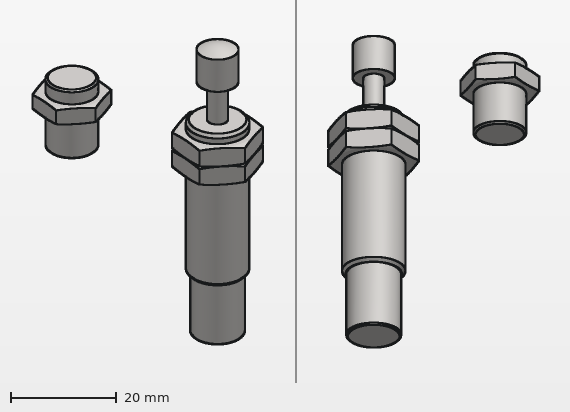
import cadquery as cq
import math

total_length = 62.3

housing_diameter = 12.0
housing_top_diameter = 10.9
housing_top_chamfer_height = 0.75
foot_diameter = 10.4
foot_chamfer = 0.3
shoulder_height = 13.1
shoulder_chamfer_height = 0.7
shoulder_chamfer_diameter = 10.65
housing_height = 46.1

rod_diameter = 4.0
cap_diameter = 8.0
cap_height = 8.0
dome_height = 1.0

lock_nut_count = 2
lock_nut_width = 15.0
lock_nut_thickness = 4.0
lock_nut_setback = 2.0
lock_nut_face_diameter = 14.8
lock_nut_corner_drop = 0.3

stud_distance = 29.95
stud_base_height = 33.5
stud_height = 14.95
stud_diameter = 10.0
stud_end_diameter = 9.15
stud_chamfer_height = 0.4
stud_nut_width = 13.0
stud_nut_thickness = 3.5
stud_nut_setback = 3.0
stud_nut_face_diameter = 12.7
stud_nut_corner_drop = 0.25


def revolve_about_z(half_profile):
    """Turn a closed half profile, drawn as (radius, height), about the Z axis."""
    return half_profile.close().revolve(360, (0, 0, 0), (0, 1, 0))


def chamfered_hexagon(width, thickness, face_diameter, corner_drop):
    """Hexagonal prism from Z = 0, flats facing +/-X, with both ends turned down at the corners."""
    corner_radius = width / math.sqrt(3)
    face_radius = face_diameter / 2
    hexagon = (
        cq.Workplane("XY")
        .polygon(6, 2 * corner_radius)
        .extrude(thickness)
        .rotate((0, 0, 0), (0, 0, 1), 30)
    )
    turned_envelope = revolve_about_z(
        cq.Workplane("XZ")
        .lineTo(face_radius, 0)
        .lineTo(corner_radius, corner_drop)
        .lineTo(corner_radius, thickness - corner_drop)
        .lineTo(face_radius, thickness)
        .lineTo(0, thickness)
    )
    return hexagon.intersect(turned_envelope)


def make_shock_absorber():
    """Stepped round housing with a rod rising from its top, ending in a cap with a spherical dome."""
    radius = housing_diameter / 2
    foot_radius = foot_diameter / 2
    rod_radius = rod_diameter / 2
    cap_radius = cap_diameter / 2
    dome_radius = (cap_radius**2 + dome_height**2) / (2 * dome_height)
    dome_center = total_length - dome_radius
    half_angle = math.asin(cap_radius / dome_radius) / 2
    dome_midpoint = (dome_radius * math.sin(half_angle), dome_center + dome_radius * math.cos(half_angle))
    return revolve_about_z(
        cq.Workplane("XZ")
        .lineTo(foot_radius - foot_chamfer, 0)
        .lineTo(foot_radius, foot_chamfer)
        .lineTo(foot_radius, shoulder_height)
        .lineTo(shoulder_chamfer_diameter / 2, shoulder_height)
        .lineTo(radius, shoulder_height + shoulder_chamfer_height)
        .lineTo(radius, housing_height - housing_top_chamfer_height)
        .lineTo(housing_top_diameter / 2, housing_height)
        .lineTo(rod_radius, housing_height)
        .lineTo(rod_radius, total_length - cap_height)
        .lineTo(cap_radius, total_length - cap_height)
        .lineTo(cap_radius, total_length - dome_height)
        .threePointArc(dome_midpoint, (0, total_length))
    )


def make_nut(width, thickness, face_diameter, corner_drop, bore_diameter):
    """Hexagonal nut resting on Z = 0, with a plain through bore."""
    bore = cq.Workplane("XY").circle(bore_diameter / 2).extrude(thickness)
    return chamfered_hexagon(width, thickness, face_diameter, corner_drop).cut(bore)


def make_lock_nut(index):
    """Nut around the housing; index 0 is the uppermost."""
    nut_bottom = housing_height - lock_nut_setback - (index + 1) * lock_nut_thickness
    nut = make_nut(
        lock_nut_width,
        lock_nut_thickness,
        lock_nut_face_diameter,
        lock_nut_corner_drop,
        housing_diameter,
    )
    return nut.translate((0, 0, nut_bottom))


def make_stop_stud():
    """Round stud with both ends chamfered."""
    radius = stud_diameter / 2
    end_radius = stud_end_diameter / 2
    stud = revolve_about_z(
        cq.Workplane("XZ")
        .lineTo(end_radius, 0)
        .lineTo(radius, stud_chamfer_height)
        .lineTo(radius, stud_height - stud_chamfer_height)
        .lineTo(end_radius, stud_height)
        .lineTo(0, stud_height)
    )
    return stud.translate((-stud_distance, 0, stud_base_height))


def make_stud_nut():
    """Nut around the stop stud, set back from the top of the stud."""
    nut_bottom = stud_base_height + stud_height - stud_nut_setback - stud_nut_thickness
    nut = make_nut(
        stud_nut_width,
        stud_nut_thickness,
        stud_nut_face_diameter,
        stud_nut_corner_drop,
        stud_diameter,
    )
    return nut.translate((-stud_distance, 0, nut_bottom))


shock_absorber = make_shock_absorber()
lock_nuts = [make_lock_nut(index) for index in range(lock_nut_count)]
stop_stud = make_stop_stud()
stud_nut = make_stud_nut()

result = cq.Compound.makeCompound(
    [shock_absorber.val(), *[nut.val() for nut in lock_nuts], stop_stud.val(), stud_nut.val()]
)